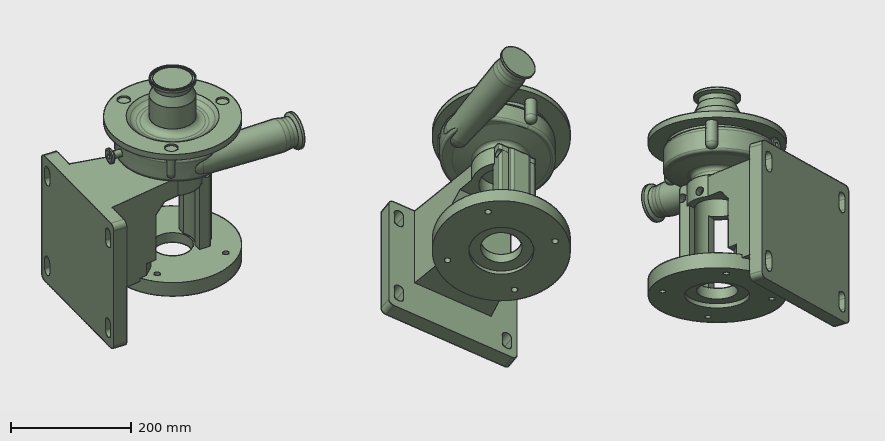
import cadquery as cq
import math


PLATE_SIZE = 250.0
PLATE_THICKNESS = 25.0
PLATE_FRONT_Y = -180.5
PLATE_CORNER_RADIUS = 10.0
SLOT_LENGTH = 36.5
SLOT_WIDTH = 17.5
SLOT_SPACING_X = 210.5
SLOT_SPACING_Z = 180.0
PLATE_BACK_Y = PLATE_FRONT_Y + PLATE_THICKNESS

FLANGE_RADIUS = 115.2
FLANGE_BOTTOM_Z = 55.0
FLANGE_TOP_Z = 82.5
FLANGE_BORE_RADIUS = 34.5
FLANGE_RECESS_RADIUS = 54.0
FLANGE_RECESS_DEPTH = 8.0
FLANGE_HOLE_RADIUS = 5.5
FLANGE_HOLE_CIRCLE_RADIUS = 92.5
FLANGE_HOLE_COUNT = 4
FLANGE_FIRST_HOLE_ANGLE = 45

BRACKET_HALF_WIDTH_AT_PLATE = 74.5
BRACKET_HALF_WIDTH_AT_RING = 48.3
RING_JOINT_Y = -16.0
BRACKET_BOTTOM_Z = 76.5
BRACKET_INNER_Y = -63.2
BRACKET_CHAMFER = 18.7
BOLT_CLEARANCE_DEPTH = 20.0
BOLT_CLEARANCE_HEIGHT = 23.0

RING_RADIUS = 50.8
RING_BORE_RADIUS = 37.5
RING_BOTTOM_Z = 213.5
RING_TOP_Z = 252.5
SIDE_HOLE_RADIUS = 7.5
SIDE_HOLE_Z = 226.0

POST_HALF_WIDTH = 35.5
POST_INNER_Y = 31.5
POST_STEP_Y = 54.5
POST_RIB_HALF_WIDTH = 18.7
POST_BACK_Y = 65.5
POST_EDGE_RADIUS = 5.0
POST_TOP_CHAMFER = 18.0
POST_HOLE_Y = 46.5
POST_HOLE_Z = 230.0

VOLUTE_START_RADIUS = 87.0
VOLUTE_GROWTH_PER_QUARTER = 6.0
VOLUTE_QUARTERS = 3
VOLUTE_STEPS_PER_QUARTER = 2
CASING_TOP_Z = 322.5
PORT_Z = 297.5
CASING_RIM_Z = 276.0
CASING_BOTTOM_Z = 271.0
CASING_TOP_FILLET = 8.0
CASING_RIM_FILLET = 5.0
NECK_RADIUS = 84.5
FOOT_RADIUS = 42.0
FOOT_FILLET = 8.0

COVER_RADIUS = FLANGE_RADIUS
COVER_BOTTOM_Z = 328.2
COVER_TOP_Z = 339.5
DISH_RIM_RADIUS = 77.5
DISH_WALL_FOOT_RADIUS = 70.7
DISH_WALL_FOOT_Z = 334.0
DISH_FLOOR_OUTER_RADIUS = 60.7
DISH_FLOOR_INNER_RADIUS = 54.5
DISH_FLOOR_Z = 329.5

SUCTION_RADIUS = 39.0
SUCTION_THROAT_RADIUS = 31.5
SUCTION_CONE_BOTTOM_Z = 382.5
SUCTION_CONE_TOP_Z = 399.0
SUCTION_TOP_Z = 416.0
FERRULE_EDGE = 4.5
FERRULE_TAPER = 3.0
GROOVE_OUTER_RADIUS = 36.5
GROOVE_INNER_RADIUS = 33.3
GROOVE_DEPTH = 1.2

BOSS_COUNT = 3
BOSS_RADIUS = 10.5
BOSS_CIRCLE_RADIUS = 95.0
BOSS_BOTTOM_Z = 279.5
BOSS_FIRST_ANGLE = 90
RECESS_RADIUS = 11.2
RECESS_DEPTH = 3.5

OUTLET_X = 81.0
OUTLET_END_Y = 189.3
OUTLET_RADIUS = 26.5
OUTLET_SHOULDER_RADIUS = 29.0
OUTLET_THROAT_RADIUS = 26.5
OUTLET_FERRULE_RADIUS = 32.5
OUTLET_FERRULE_THICKNESS = 4.5
OUTLET_FERRULE_TAPER = 4.5
OUTLET_THROAT_Y = 172.5
OUTLET_BLEND_Y = 165.0
OUTLET_SHOULDER_Y = 156.0

DRAIN_STEM_RADIUS = 6.5
DRAIN_FERRULE_RADIUS = 13.5
DRAIN_TIP_Y = -122.0
DRAIN_FERRULE_THICKNESS = 4.5
DRAIN_TAPER = 4.5
DRAIN_BORE_RADIUS = 4.0
DRAIN_BORE_END_Y = -100.0
DRAIN_FACE_RADIUS = 10.5
DRAIN_FACE_DROP = 1.2


def cylinder(radius, bottom, top, x=0.0, y=0.0):
    return cq.Workplane("XY", origin=(x, y, bottom)).circle(radius).extrude(top - bottom)


def cross_hole(radius, y, z, start_x, end_x):
    return cq.Workplane("YZ", origin=(start_x, y, z)).circle(radius).extrude(end_x - start_x)


def make_wall_plate():
    center = (0, PLATE_BACK_Y, PLATE_SIZE / 2)
    plate = cq.Workplane("XZ", origin=center).rect(PLATE_SIZE, PLATE_SIZE).extrude(PLATE_THICKNESS)
    plate = plate.edges("|Y").fillet(PLATE_CORNER_RADIUS)
    slots = (
        cq.Workplane("XZ", origin=center)
        .rarray(SLOT_SPACING_X, SLOT_SPACING_Z, 2, 2)
        .slot2D(SLOT_LENGTH, SLOT_WIDTH, 90)
        .extrude(PLATE_THICKNESS)
    )
    return plate.cut(slots)


def make_flange():
    flange = cylinder(FLANGE_RADIUS, FLANGE_BOTTOM_Z, FLANGE_TOP_Z)
    holes = (
        cq.Workplane("XY", origin=(0, 0, FLANGE_BOTTOM_Z))
        .polarArray(FLANGE_HOLE_CIRCLE_RADIUS, FLANGE_FIRST_HOLE_ANGLE, 360, FLANGE_HOLE_COUNT)
        .circle(FLANGE_HOLE_RADIUS)
        .extrude(FLANGE_TOP_Z - FLANGE_BOTTOM_Z)
    )
    bore = cylinder(FLANGE_BORE_RADIUS, FLANGE_BOTTOM_Z, FLANGE_TOP_Z)
    recess = cylinder(FLANGE_RECESS_RADIUS, FLANGE_BOTTOM_Z, FLANGE_BOTTOM_Z + FLANGE_RECESS_DEPTH)
    return flange.cut(bore).cut(recess).cut(holes)


def bracket_half_width(y):
    taper = (BRACKET_HALF_WIDTH_AT_PLATE - BRACKET_HALF_WIDTH_AT_RING) / (RING_JOINT_Y - PLATE_BACK_Y)
    return BRACKET_HALF_WIDTH_AT_PLATE - taper * (y - PLATE_BACK_Y)


def make_bracket():
    plan = (
        cq.Workplane("XY")
        .moveTo(-BRACKET_HALF_WIDTH_AT_PLATE, PLATE_BACK_Y)
        .lineTo(BRACKET_HALF_WIDTH_AT_PLATE, PLATE_BACK_Y)
        .lineTo(BRACKET_HALF_WIDTH_AT_RING, RING_JOINT_Y)
        .lineTo(-BRACKET_HALF_WIDTH_AT_RING, RING_JOINT_Y)
        .close()
        .extrude(PLATE_SIZE)
    )
    side = (
        cq.Workplane("YZ", origin=(-BRACKET_HALF_WIDTH_AT_PLATE, 0, 0))
        .moveTo(PLATE_BACK_Y, BRACKET_BOTTOM_Z)
        .lineTo(BRACKET_INNER_Y, BRACKET_BOTTOM_Z)
        .lineTo(BRACKET_INNER_Y, RING_BOTTOM_Z - BRACKET_CHAMFER)
        .lineTo(BRACKET_INNER_Y + BRACKET_CHAMFER, RING_BOTTOM_Z)
        .lineTo(RING_JOINT_Y, RING_BOTTOM_Z)
        .lineTo(RING_JOINT_Y, PLATE_SIZE)
        .lineTo(PLATE_BACK_Y, PLATE_SIZE)
        .close()
        .extrude(2 * BRACKET_HALF_WIDTH_AT_PLATE)
    )
    bracket = plan.intersect(side)
    clearance_y = BRACKET_INNER_Y - BOLT_CLEARANCE_DEPTH
    outer_x = bracket_half_width(clearance_y)
    for side_sign in (-1, 1):
        bracket = bracket.cut(
            cq.Workplane("XY", origin=(0, 0, FLANGE_TOP_Z))
            .moveTo(side_sign * outer_x, clearance_y)
            .lineTo(side_sign * (outer_x - BOLT_CLEARANCE_DEPTH), BRACKET_INNER_Y)
            .lineTo(side_sign * outer_x, BRACKET_INNER_Y)
            .close()
            .extrude(BOLT_CLEARANCE_HEIGHT)
        )
    return bracket


def post_step(half_width, back_y):
    step = (
        cq.Workplane("XY", origin=(-half_width, POST_INNER_Y, FLANGE_TOP_Z))
        .box(2 * half_width, back_y - POST_INNER_Y, RING_TOP_Z - FLANGE_TOP_Z, centered=False)
    )
    return step.edges("|Z and >Y").fillet(POST_EDGE_RADIUS)


def make_post():
    post = post_step(POST_HALF_WIDTH, POST_STEP_Y).union(post_step(POST_RIB_HALF_WIDTH, POST_BACK_Y))
    top_corner = (
        cq.Workplane("YZ", origin=(-POST_HALF_WIDTH, 0, 0))
        .moveTo(POST_BACK_Y, RING_TOP_Z - POST_TOP_CHAMFER)
        .lineTo(POST_BACK_Y, RING_TOP_Z)
        .lineTo(POST_BACK_Y - POST_TOP_CHAMFER, RING_TOP_Z)
        .close()
        .extrude(2 * POST_HALF_WIDTH)
    )
    return post.cut(top_corner)


def make_pedestal():
    ring = cylinder(RING_RADIUS, RING_BOTTOM_Z, RING_TOP_Z)
    pedestal = make_bracket().union(make_post()).union(ring)
    pedestal = pedestal.cut(cylinder(RING_BORE_RADIUS, FLANGE_TOP_Z, RING_TOP_Z))
    pedestal = pedestal.cut(cross_hole(SIDE_HOLE_RADIUS, 0, SIDE_HOLE_Z, -RING_RADIUS, 0))
    pedestal = pedestal.cut(cross_hole(SIDE_HOLE_RADIUS, POST_HOLE_Y, POST_HOLE_Z, -RING_RADIUS, RING_RADIUS))
    return pedestal.union(make_flange()).union(make_wall_plate())


def volute_point(step):
    quarters = step / VOLUTE_STEPS_PER_QUARTER
    growth = min(quarters, VOLUTE_QUARTERS * (4 - quarters))
    radius = VOLUTE_START_RADIUS + VOLUTE_GROWTH_PER_QUARTER * growth
    angle = math.radians(90 + 90 * quarters)
    return (radius * math.cos(angle), radius * math.sin(angle))


def make_casing():
    points = [volute_point(step) for step in range(4 * VOLUTE_STEPS_PER_QUARTER)]
    outline = cq.Workplane("XY", origin=(0, 0, CASING_RIM_Z)).spline(points, periodic=True).close()
    casing = outline.extrude(CASING_TOP_Z - CASING_RIM_Z)
    casing = casing.faces(">Z").edges().fillet(CASING_TOP_FILLET)
    casing = casing.faces("<Z").edges().fillet(CASING_RIM_FILLET)
    return casing.union(cylinder(NECK_RADIUS, CASING_RIM_Z + CASING_RIM_FILLET, COVER_BOTTOM_Z))


def make_foot():
    return (
        cq.Workplane("XZ")
        .moveTo(0, RING_TOP_Z)
        .lineTo(FOOT_RADIUS, RING_TOP_Z)
        .lineTo(FOOT_RADIUS, CASING_BOTTOM_Z - FOOT_FILLET)
        .radiusArc((FOOT_RADIUS + FOOT_FILLET, CASING_BOTTOM_Z), FOOT_FILLET)
        .lineTo(VOLUTE_START_RADIUS - CASING_RIM_FILLET, CASING_RIM_Z)
        .lineTo(0, CASING_RIM_Z)
        .close()
        .revolve(360, (0, 0, 0), (0, 1, 0))
    )


def make_cover_and_suction():
    ferrule_underside_z = SUCTION_TOP_Z - FERRULE_EDGE
    return (
        cq.Workplane("XZ")
        .moveTo(0, COVER_BOTTOM_Z)
        .lineTo(COVER_RADIUS, COVER_BOTTOM_Z)
        .lineTo(COVER_RADIUS, COVER_TOP_Z)
        .lineTo(DISH_RIM_RADIUS, COVER_TOP_Z)
        .lineTo(DISH_WALL_FOOT_RADIUS, DISH_WALL_FOOT_Z)
        .tangentArcPoint((DISH_FLOOR_OUTER_RADIUS, DISH_FLOOR_Z), relative=False)
        .lineTo(DISH_FLOOR_INNER_RADIUS, DISH_FLOOR_Z)
        .tangentArcPoint((SUCTION_RADIUS, COVER_TOP_Z), relative=False)
        .lineTo(SUCTION_RADIUS, SUCTION_CONE_BOTTOM_Z)
        .lineTo(SUCTION_THROAT_RADIUS, SUCTION_CONE_TOP_Z)
        .lineTo(SUCTION_THROAT_RADIUS, ferrule_underside_z - FERRULE_TAPER)
        .lineTo(SUCTION_RADIUS, ferrule_underside_z)
        .lineTo(SUCTION_RADIUS, SUCTION_TOP_Z)
        .lineTo(GROOVE_OUTER_RADIUS, SUCTION_TOP_Z)
        .lineTo(GROOVE_OUTER_RADIUS, SUCTION_TOP_Z - GROOVE_DEPTH)
        .lineTo(GROOVE_INNER_RADIUS, SUCTION_TOP_Z - GROOVE_DEPTH)
        .lineTo(GROOVE_INNER_RADIUS, SUCTION_TOP_Z)
        .lineTo(0, SUCTION_TOP_Z)
        .close()
        .revolve(360, (0, 0, 0), (0, 1, 0))
    )


def boss_centers():
    angles = [math.radians(BOSS_FIRST_ANGLE + i * 360 / BOSS_COUNT) for i in range(BOSS_COUNT)]
    return [(BOSS_CIRCLE_RADIUS * math.cos(a), BOSS_CIRCLE_RADIUS * math.sin(a)) for a in angles]


def make_boss(x, y):
    dome_z = BOSS_BOTTOM_Z + BOSS_RADIUS
    dome = cq.Workplane("XY", origin=(x, y, dome_z)).sphere(BOSS_RADIUS)
    return cylinder(BOSS_RADIUS, dome_z, COVER_BOTTOM_Z, x, y).union(dome)


def make_outlet():
    neck_y = OUTLET_END_Y - OUTLET_FERRULE_THICKNESS
    middle_radius = (OUTLET_THROAT_RADIUS + OUTLET_SHOULDER_RADIUS) / 2
    return (
        cq.Workplane("XY", origin=(OUTLET_X, 0, PORT_Z))
        .moveTo(0, -OUTLET_RADIUS)
        .radiusArc((OUTLET_RADIUS, 0), -OUTLET_RADIUS)
        .lineTo(OUTLET_SHOULDER_RADIUS, OUTLET_SHOULDER_Y)
        .tangentArcPoint((middle_radius, OUTLET_BLEND_Y), relative=False)
        .lineTo(OUTLET_THROAT_RADIUS, OUTLET_THROAT_Y)
        .lineTo(OUTLET_THROAT_RADIUS, neck_y - OUTLET_FERRULE_TAPER)
        .lineTo(OUTLET_FERRULE_RADIUS, neck_y)
        .lineTo(OUTLET_FERRULE_RADIUS, OUTLET_END_Y)
        .lineTo(0, OUTLET_END_Y)
        .close()
        .revolve(360, (0, 0, 0), (0, 1, 0))
    )


def make_drain():
    ferrule_back_y = DRAIN_TIP_Y + DRAIN_FERRULE_THICKNESS
    return (
        cq.Workplane("XY", origin=(0, 0, PORT_Z))
        .moveTo(0, -NECK_RADIUS)
        .lineTo(DRAIN_STEM_RADIUS, -NECK_RADIUS)
        .lineTo(DRAIN_STEM_RADIUS, ferrule_back_y + DRAIN_TAPER)
        .lineTo(DRAIN_FERRULE_RADIUS, ferrule_back_y)
        .lineTo(DRAIN_FERRULE_RADIUS, DRAIN_TIP_Y + DRAIN_FACE_DROP)
        .lineTo(DRAIN_FACE_RADIUS, DRAIN_TIP_Y)
        .lineTo(DRAIN_BORE_RADIUS, DRAIN_TIP_Y)
        .lineTo(DRAIN_BORE_RADIUS, DRAIN_BORE_END_Y)
        .lineTo(0, DRAIN_BORE_END_Y)
        .close()
        .revolve(360, (0, 0, 0), (0, 1, 0))
    )


def make_pump():
    pump = make_casing().union(make_foot()).union(make_outlet()).union(make_drain())
    for x, y in boss_centers():
        pump = pump.union(make_boss(x, y))
    pump = pump.union(make_cover_and_suction())
    for x, y in boss_centers():
        pump = pump.cut(cylinder(RECESS_RADIUS, COVER_TOP_Z - RECESS_DEPTH, COVER_TOP_Z, x, y))
    return pump


result = make_pedestal().union(make_pump())